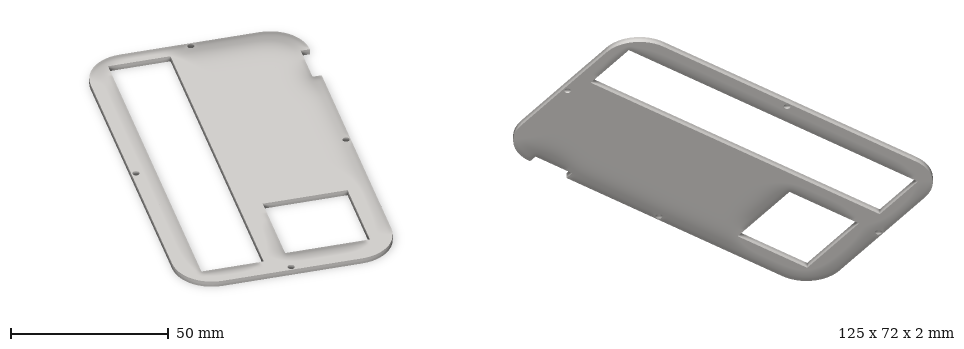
import cadquery as cq

length = 125.0
width = 72.0
thickness = 2.0
corner_radius = 13.0

notch_length = 14.4
notch_depth = 3.0

window_x = 39.7
window_y = 14.0
window_length = 27.2
window_width = 27.9

slot_x = -0.7
slot_y = -17.9
slot_length = 113.3
slot_width = 20.5

hole_diameter = 2.2
hole_inset = 1.5


def rectangular_cutter(center_x, center_y, size_x, size_y):
    """Box through the full plate thickness."""
    return cq.Workplane("XY").center(center_x, center_y).rect(size_x, size_y).extrude(thickness)


plate = (
    cq.Workplane("XY")
    .rect(length, width)
    .extrude(thickness)
    .edges("|Z")
    .fillet(corner_radius)
)

notch = rectangular_cutter(
    -length / 2 + corner_radius + notch_length / 2,
    width / 2 - notch_depth / 2,
    notch_length,
    notch_depth,
)
window = rectangular_cutter(window_x, window_y, window_length, window_width)
slot = rectangular_cutter(slot_x, slot_y, slot_length, slot_width)

hole_x = length / 2 - hole_inset
hole_y = width / 2 - hole_inset
holes = (
    cq.Workplane("XY")
    .pushPoints([(hole_x, 0), (-hole_x, 0), (0, hole_y), (0, -hole_y)])
    .circle(hole_diameter / 2)
    .extrude(thickness)
)

result = plate.cut(notch).cut(window).cut(slot).cut(holes)